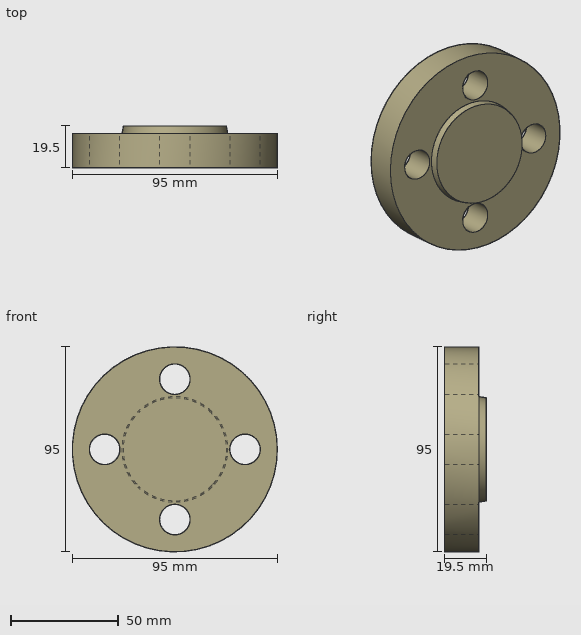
import cadquery as cq

flange_diameter = 95.0
flange_thickness = 16.0
face_base_diameter = 49.0
face_top_diameter = 47.8
overall_thickness = 19.5
face_height = overall_thickness - flange_thickness

bolt_circle_diameter = 65.0
bolt_hole_diameter = 14.0
bolt_hole_count = 4


def make_body():
    """Revolve the half section of the disc and raised face about the Y axis."""
    flange_radius = flange_diameter / 2
    face_base_radius = face_base_diameter / 2
    face_top_radius = face_top_diameter / 2
    return (
        cq.Workplane("XY")
        .lineTo(flange_radius, 0)
        .lineTo(flange_radius, flange_thickness)
        .lineTo(face_base_radius, flange_thickness)
        .lineTo(face_top_radius, flange_thickness + face_height)
        .lineTo(0, flange_thickness + face_height)
        .close()
        .revolve(360, (0, 0, 0), (0, 1, 0))
    )


def make_bolt_holes():
    """Cylinders along Y, evenly spaced on the bolt circle, starting on the X axis."""
    return (
        cq.Workplane("XZ")
        .polarArray(bolt_circle_diameter / 2, 0, 360, bolt_hole_count)
        .circle(bolt_hole_diameter / 2)
        .extrude(-flange_thickness)
    )


result = make_body().cut(make_bolt_holes())